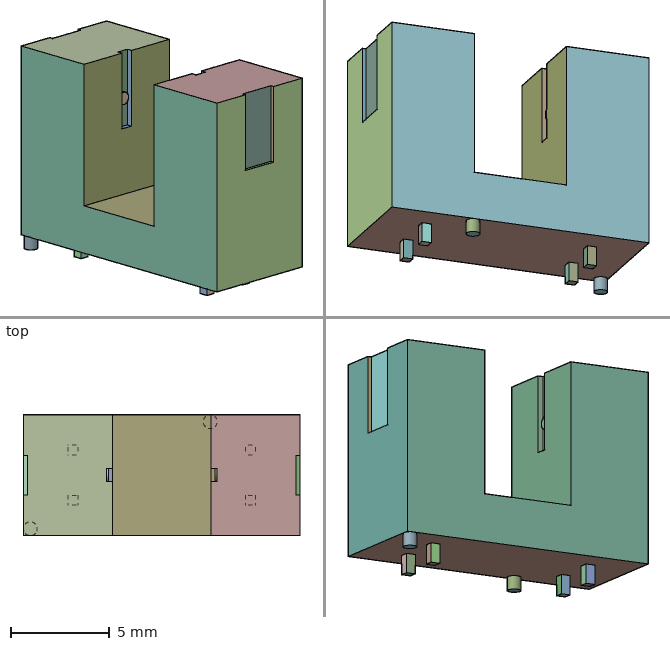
import cadquery as cq


body_length = 14.0
body_width = 6.12
body_height = 10.0
gap_width = 5.0
gap_floor = 2.5

recess_width = 2.0
recess_height = 4.0
recess_depth = 0.2

groove_width = 0.66
groove_height = 4.0
groove_depth = 0.3
lens_diameter = groove_width
lens_protrusion = 0.1
lens_drop = 2.5

pin_side = 0.5
pin_length = 1.01
pin_pitch_x = 9.0
pin_pitch_y = 2.53

peg_diameter = 0.7
peg_length = 0.7
peg_pitch_x = 9.1


def box_at(size_x, size_y, bottom, top, x=0, y=0):
    """Box centred on (x, y), reaching from bottom to top in Z."""
    box = cq.Workplane("XY").box(size_x, size_y, top - bottom, centered=(True, True, False))
    return box.translate((x, y, bottom))


def make_housing():
    block = box_at(body_length, body_width, 0, body_height)
    gap = box_at(gap_width, body_width, gap_floor, body_height)
    return block.cut(gap)


def end_recess(side):
    return box_at(
        2 * recess_depth, recess_width, body_height - recess_height, body_height, x=side * body_length / 2
    )


def gap_groove(side):
    return box_at(
        2 * groove_depth, groove_width, body_height - groove_height, body_height, x=side * gap_width / 2
    )


def lens(side):
    """Round lens standing out of the groove's back face towards the gap."""
    groove_back = side * (gap_width / 2 + groove_depth)
    return (
        cq.Workplane("YZ", origin=(groove_back, 0, body_height - lens_drop))
        .circle(lens_diameter / 2)
        .extrude(-side * lens_protrusion)
    )


def make_pins():
    return (
        cq.Workplane("XY")
        .rarray(pin_pitch_x, pin_pitch_y, 2, 2)
        .rect(pin_side, pin_side)
        .extrude(-pin_length)
    )


def make_pegs():
    """Two pegs, one in the corner at -X -Y and one along the +Y face."""
    corner_x = (peg_diameter - body_length) / 2
    edge_y = (body_width - peg_diameter) / 2
    return (
        cq.Workplane("XY")
        .pushPoints([(corner_x, -edge_y), (corner_x + peg_pitch_x, edge_y)])
        .circle(peg_diameter / 2)
        .extrude(-peg_length)
    )


result = make_housing()
for side in (-1, 1):
    result = result.cut(end_recess(side))
    result = result.cut(gap_groove(side))
    result = result.union(lens(side))
result = result.union(make_pins())
result = result.union(make_pegs())